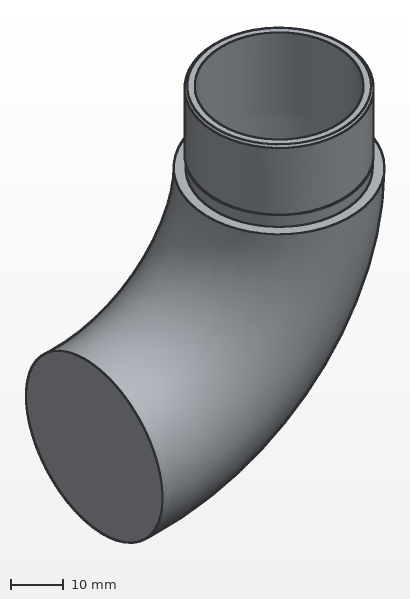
import cadquery as cq

total_height = 84.0
elbow_diameter = 40.0
bore_diameter = 32.0
spigot_diameter = 35.9
groove_diameter = 35.5
spigot_length = 20.0
groove_width = 3.0
spigot_chamfer = 0.5
cap_thickness = 2.0

bend_radius = total_height - spigot_length - elbow_diameter / 2


def quarter_bend(diameter):
    """Solid 90 degree bend from the shoulder (axis +Z) to the cap (axis -Y)."""
    return (
        cq.Workplane("XY")
        .circle(diameter / 2)
        .revolve(90, (0, -bend_radius, 0), (-1, -bend_radius, 0))
    )


def upright_cylinder(diameter, bottom, height):
    return cq.Workplane("XY").workplane(offset=bottom).circle(diameter / 2).extrude(height)


elbow = quarter_bend(elbow_diameter)
cap = (
    cq.Workplane("XZ", origin=(0, -bend_radius, -bend_radius))
    .circle(elbow_diameter / 2)
    .extrude(cap_thickness)
)
groove = upright_cylinder(groove_diameter, 0, groove_width)
spigot = (
    upright_cylinder(spigot_diameter, groove_width, spigot_length - groove_width)
    .faces(">Z")
    .edges()
    .chamfer(spigot_chamfer)
)
body = elbow.union(cap).union(groove).union(spigot)

straight_bore = upright_cylinder(bore_diameter, 0, spigot_length)
bent_bore = quarter_bend(bore_diameter)

result = body.cut(straight_bore).cut(bent_bore)